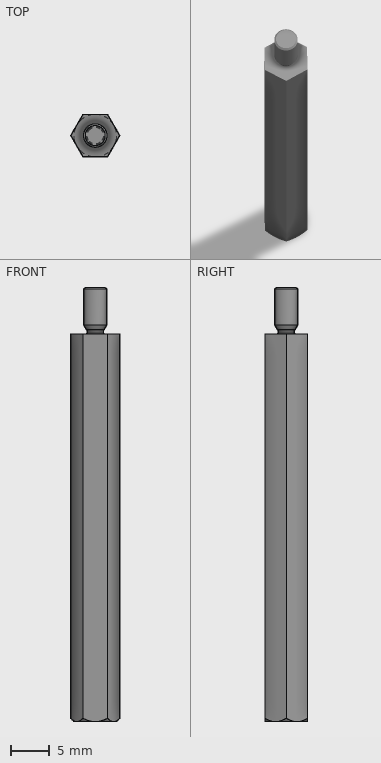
import cadquery as cq
import math

total_length = 56.0
stud_length = 6.0
body_length = total_length - stud_length
across_flats = 5.5
across_corners = across_flats / math.cos(math.pi / 6)
corner_chamfer_height = 0.45

stud_diameter = 3.0
stud_tip_diameter = 2.6
tip_chamfer_height = 0.2
neck_diameter = 2.1
neck_rim_diameter = 2.35
neck_fillet = (neck_rim_diameter - neck_diameter) / 2
neck_length = 0.55
neck_cone_height = 0.6


def make_body():
    """Hexagonal bar whose lower corners are turned off by a cone."""
    bar = cq.Workplane("XY").polygon(6, across_corners).extrude(body_length)
    turned_envelope = (
        cq.Workplane("XZ")
        .lineTo(across_flats / 2, 0)
        .lineTo(across_corners / 2, corner_chamfer_height)
        .lineTo(across_corners / 2, body_length)
        .lineTo(0, body_length)
        .close()
        .revolve(360, (0, 0), (0, 1))
    )
    return bar.intersect(turned_envelope)


def make_stud():
    """Turned stud with an undercut neck, rounded at both ends, and a chamfered tip."""
    cone_bottom = body_length + neck_length
    return (
        cq.Workplane("XZ")
        .moveTo(0, body_length)
        .lineTo(neck_rim_diameter / 2, body_length)
        .radiusArc((neck_diameter / 2, body_length + neck_fillet), neck_fillet)
        .lineTo(neck_diameter / 2, cone_bottom - neck_fillet)
        .radiusArc((neck_rim_diameter / 2, cone_bottom), neck_fillet)
        .lineTo(stud_diameter / 2, cone_bottom + neck_cone_height)
        .lineTo(stud_diameter / 2, total_length - tip_chamfer_height)
        .lineTo(stud_tip_diameter / 2, total_length)
        .lineTo(0, total_length)
        .close()
        .revolve(360, (0, 0), (0, 1))
    )


result = make_body().union(make_stud())